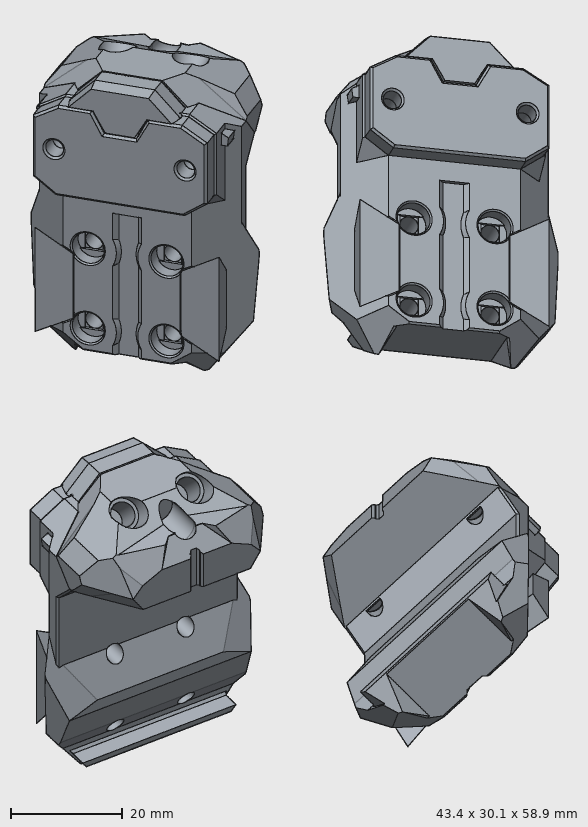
import cadquery as cq
import math


TOP_Z = 58.94
BACK_Y = 26.05
SIDE_X = 19.27
PLATE_HALF_WIDTH = 12.26
SHOULDER_Z = 54.4
SHOULDER_X = 11.8
FACE_HALF_WIDTH = 16.94
SHOULDER_SLOPE = math.tan(math.radians(30))
FACE_SHOULDER_Z = SHOULDER_Z - SHOULDER_SLOPE * (FACE_HALF_WIDTH - SHOULDER_X)
FACE_BOTTOM_Z = 36.0
FACE_CORNER_Z = 39.1
HEAD_BOTTOM_Z = 45.7
HEAD_FRONT_Y = 2.85
JOINT_SUM = 59.5
JOINT_TOP_Y = JOINT_SUM - SHOULDER_Z
JOINT_BOTTOM_Y = JOINT_SUM - HEAD_BOTTOM_Z
BIG = 200.0

PLATE_BACK_Y = 9.73
UNDERCUT_Y = 14.5
UNDERCUT_Z = HEAD_BOTTOM_Z - (UNDERCUT_Y - PLATE_BACK_Y)
WAIST_Z = 30.9
BULGE_Y = 13.85
BOTTOM_Z = 3.7
BOTTOM_HALF_WIDTH = 10.2
TIP_Y = 6.8
TIP_FRONT_Y = 2.0
TIP_RISE = 0.592
HOOK_Y = 13.3
HOOK_LIP_Y = 13.55
HOOK_BEVEL = 0.5
HOOK_INSET = 0.5
HOOK_TOP_Z = 5.2
BOTTOM_CHAMFER = 0.35
TIP_X = (13.2, PLATE_HALF_WIDTH)
BACK_EDGE_CHAMFER = 0.4
FACE_EDGE_CHAMFER = 0.35

BOLT_X = 7.5
BOLT_Z = (8.35, 24.3)
BOLT_DIAMETER = 3.4
BOLT_HEAD_DIAMETER = 6.1
BOLT_HEAD_DEPTH = 3.0
BOLT_RIM = 0.3
BRIDGE_STEP = 0.3

GROOVE_TOP_Z = 32.2
GROOVE_HALF_WIDTH = 2.75
GROOVE_FLOOR_HALF_WIDTH = 1.87
GROOVE_DEPTH = GROOVE_HALF_WIDTH - GROOVE_FLOOR_HALF_WIDTH
GROOVE_COLLAR_RADIUS = 5.45
GROOVE_COLLAR_FLOOR_RADIUS = 6.1

FACE_THICKNESS = 4.0
FACE_REVEAL = 0.35
FACE_CHAMFER = 0.45
FACE_TOP_Z = SHOULDER_Z - FACE_REVEAL
FACE_HOLE_X = 12.5
FACE_HOLE_Z = 45.3
FACE_HOLE_DIAMETER = 3.4
FACE_HOLE_RIM = 0.4
FACE_HOLE_END_Y = 16.0
NOTCH_TOP_HALF_WIDTH = 5.35
NOTCH_BOTTOM_HALF_WIDTH = 3.05
NOTCH_BOTTOM_Z = 49.85
NOTCH_GAP = 0.25

TONGUE_TOP_HALF_WIDTH = 5.7
TONGUE_SPLIT_Y = -1.1
TONGUE_TAPER = 11.0
TONGUE_CHAMFER = 0.35
NOSE_SETBACK = 0.2

WEDGE_OUTER_X = 17.53
WEDGE_INNER_X = 10.3
WEDGE_DEPTH = 4.0
WEDGE_GAP = 0.2
WEDGE_FRONT_OUTER_Z = (5.94, 26.85)
WEDGE_FRONT_INNER_Z = (9.85, 22.8)
WEDGE_BACK_OUTER_Z = (10.9, 22.4)
WEDGE_BACK_INNER_Z = (14.8, 18.35)

PEG_Y = (2.85, 6.5)
PEG_INNER_X = 15.0
PEG_OUTER_X = 18.3
PEG_DRAFT = 0.2
PEG_BOTTOM_Z = 47.9
PEG_OUTER_Z = 49.55

INSERT_X = 6.93
INSERT_SEAT_Y = 12.2
INSERT_SEAT_Z = 56.35
INSERT_TILT = 45.0
INSERT_DIAMETER = 4.7
INSERT_DEPTH = 6.0
SCREW_HEAD_DIAMETER = 6.1
SCREW_HEAD_DRAFT = 5.0
SCREW_HEAD_REACH = 8.0
BACK_GROOVE_WIDTH = 1.96
BACK_GROOVE_DEPTH = 1.08
BACK_GROOVE_BEVEL = 0.4
CHANNEL_DIAMETER = 5.5
CHANNEL_AXIS_Z = 55.7
CHANNEL_Y = (13.5, 20.75)


def mirrored(points):
    """Close an outline given on its +X half by repeating it on the -X half."""
    return points + [(-x, z) for x, z in reversed(points)]


def beyond(p, q, r, core):
    """Block filling the side of plane p-q-r that does not hold the point core."""
    p, q, r, core = (cq.Vector(*v) for v in (p, q, r, core))
    normal = (q - p).cross(r - p).normalized()
    if normal.dot(core - p) > 0:
        normal = normal * -1
    plane = cq.Plane(origin=p, xDir=q - p, normal=normal)
    return cq.Workplane(plane).rect(BIG, BIG).extrude(BIG)


def trim_sides(body, facets, core):
    """Cut one planar facet per point triple, and its mirror image on the other side."""
    for facet in facets:
        for side in (1, -1):
            points = [(side * x, y, z) for x, y, z in facet]
            body = body.cut(beyond(*points, core))
    return body


def along_x(points):
    """Prism across the full width from a (y, z) outline."""
    return cq.Workplane("YZ").polyline(points).close().extrude(BIG / 2, both=True)


def along_y(points, y_start, y_end):
    """Prism from y_start to y_end with an (x, z) outline."""
    plane = cq.Workplane("XZ", origin=(0, y_start, 0))
    return plane.polyline(points).close().extrude(y_start - y_end)


def drill(x, z, diameter, y_start, y_end):
    """Cylinder along Y."""
    return cq.Workplane("XZ", origin=(x, y_start, z)).circle(diameter / 2).extrude(y_start - y_end)


def cone(x, z, radius, end_radius, y_start, length):
    """Cone along +Y, from radius at y_start to end_radius."""
    solid = cq.Solid.makeCone(radius, end_radius, length, cq.Vector(x, y_start, z), cq.Vector(0, 1, 0))
    return cq.Workplane(solid)



def wedge(side, gap=0.0):
    """Tapered block let into the 45 degree flank of the carriage; gap widens its recess."""
    def face(outer_z, inner_z):
        inner_x = WEDGE_INNER_X - gap
        return [
            (side * WEDGE_OUTER_X, outer_z[1] + gap),
            (side * inner_x, inner_z[1] + gap),
            (side * inner_x, inner_z[0] - gap),
            (side * WEDGE_OUTER_X, outer_z[0] - gap),
        ]

    return (
        cq.Workplane("XZ")
        .polyline(face(WEDGE_FRONT_OUTER_Z, WEDGE_FRONT_INNER_Z)).close()
        .workplane(offset=-WEDGE_DEPTH)
        .polyline(face(WEDGE_BACK_OUTER_Z, WEDGE_BACK_INNER_Z)).close()
        .loft(ruled=True)
    )



def peg(side):
    """Small locating peg standing out of the side of the carriage."""
    inner_z = PEG_OUTER_Z + SHOULDER_SLOPE * (PEG_OUTER_X - PEG_INNER_X)
    outline = [
        (PEG_INNER_X, PEG_BOTTOM_Z),
        (PEG_INNER_X, inner_z),
        (PEG_OUTER_X, PEG_OUTER_Z),
        (PEG_OUTER_X - PEG_DRAFT, PEG_BOTTOM_Z),
    ]
    return along_y([(side * x, z) for x, z in outline], *PEG_Y)



CARRIAGE_CORE = (0, 5, 20)
FLARE_TOP = (21.7, 9.44, 24.7)
FLARE_LOW = (21.7, 9.44, 22.2)
FLARE_END = (20.95, 8.69, 10.6)
FLANK_END = (16.9, 4.64, 5.4)
BULGE_SIDE_X = 19.3
TIP_BACK = (14.1, 9.4, 1.54)
FRONT_BREAK_Z = 6.75
BULGE_Z = (16.1, 18.4)
BULGE_KNEE = (11.5, 9.9)
BULGE_BOTTOM_Z = 6.8
BULGE_TOP_Z = 25.5


def carriage_outline():
    """Outline of the carriage in X and Z; the facets shape its lower sides further."""
    side_shoulder_z = SHOULDER_Z - SHOULDER_SLOPE * (SIDE_X - SHOULDER_X)
    return mirrored([
        (SHOULDER_X, SHOULDER_Z),
        (SIDE_X, side_shoulder_z),
        (SIDE_X, WAIST_Z),
        (FLARE_TOP[0], FLARE_TOP[2]),
        (FLARE_TOP[0], 0),
        (TIP_X[1], 0),
        (BOTTOM_HALF_WIDTH, BOTTOM_Z),
    ])


def carriage_plate():
    """Upright plate with the overhang under the head; its back edges are bevelled."""
    profile = [
        (0, BOTTOM_Z + BOTTOM_CHAMFER),
        (BOTTOM_CHAMFER, BOTTOM_Z),
        (TIP_FRONT_Y, BOTTOM_Z),
        (TIP_Y, 0),
        (PLATE_BACK_Y, TIP_RISE * (PLATE_BACK_Y - TIP_Y)),
        (PLATE_BACK_Y, UNDERCUT_Z),
        (UNDERCUT_Y, HEAD_BOTTOM_Z),
        (JOINT_BOTTOM_Y, HEAD_BOTTOM_Z),
        (JOINT_TOP_Y, SHOULDER_Z),
        (0, SHOULDER_Z),
    ]
    plate = along_x(profile).intersect(cq.Workplane("XY").box(2 * SIDE_X, BIG, BIG))
    for side in (1, -1):
        x = side * SIDE_X
        back_edges = cq.selectors.BoxSelector(
            (x - 1, PLATE_BACK_Y - 0.1, BOTTOM_Z),
            (x + 1, UNDERCUT_Y, HEAD_BOTTOM_Z - 1),
        )
        plate = plate.edges(back_edges).chamfer(BACK_EDGE_CHAMFER)
    return plate


def hook():
    """Ledge along the lower back, narrower than the plate."""
    profile = [
        (PLATE_BACK_Y, TIP_RISE * (PLATE_BACK_Y - TIP_Y)),
        (HOOK_Y, TIP_RISE * (HOOK_Y - TIP_Y)),
        (HOOK_LIP_Y, HOOK_TOP_Z),
        (PLATE_BACK_Y + HOOK_BEVEL, HOOK_TOP_Z),
        (PLATE_BACK_Y, HOOK_TOP_Z + HOOK_BEVEL),
    ]
    side = (
        (TIP_X[0] - HOOK_INSET, 0, 0),
        (TIP_X[0] - HOOK_INSET, 1, 0),
        (FLANK_END[0] - HOOK_INSET, 0, FLANK_END[2]),
    )
    return trim_sides(along_x(profile), [side], CARRIAGE_CORE)


def carriage_bulge():
    """Lower part that is wider and thicker than the plate, narrowed by a facet on each side."""
    profile = [
        (0, BULGE_BOTTOM_Z),
        (PLATE_BACK_Y, BULGE_BOTTOM_Z),
        BULGE_KNEE,
        (BULGE_Y, BULGE_Z[0]),
        (BULGE_Y, BULGE_Z[1]),
        (PLATE_BACK_Y, BULGE_TOP_Z),
        (SIDE_X - PLATE_HALF_WIDTH, WAIST_Z),
        (0, WAIST_Z),
    ]
    upper_facet = (
        (SIDE_X, SIDE_X - PLATE_HALF_WIDTH, WAIST_Z),
        FLARE_TOP,
        (BULGE_SIDE_X, BULGE_Y, BULGE_Z[0]),
    )
    return trim_sides(along_x(profile), [upper_facet], CARRIAGE_CORE)


def face_block():
    """Square-sided block behind the face plate, with its lower corners cut away at a slant."""
    depth = FACE_HALF_WIDTH - PLATE_HALF_WIDTH
    outline = mirrored([
        (SHOULDER_X, SHOULDER_Z),
        (FACE_HALF_WIDTH, FACE_SHOULDER_Z),
        (FACE_HALF_WIDTH, FACE_BOTTOM_Z),
    ])
    block = along_y(outline, 0, depth)
    block = block.faces("<Y").edges("not <Z").chamfer(FACE_EDGE_CHAMFER)
    corner = (
        (FACE_HALF_WIDTH, depth, FACE_BOTTOM_Z),
        (FACE_HALF_WIDTH, FACE_EDGE_CHAMFER, FACE_CORNER_Z),
        (PLATE_HALF_WIDTH, 0, FACE_BOTTOM_Z),
    )
    return trim_sides(block, [corner], (0, depth / 2, SHOULDER_Z))


def bolt_hole(x, z):
    """Counterbored bolt hole; its seat steps through a slot and a square before the round hole."""
    slot_end = BOLT_HEAD_DEPTH + BRIDGE_STEP
    square_end = slot_end + BRIDGE_STEP
    hole = drill(x, z, BOLT_DIAMETER, 0, BIG)
    head = drill(x, z, BOLT_HEAD_DIAMETER, 0, BOLT_HEAD_DEPTH)
    head_radius = BOLT_HEAD_DIAMETER / 2
    rim = cone(x, z, head_radius + BOLT_RIM, head_radius, 0, BOLT_RIM)
    across = cq.Workplane("XZ", origin=(x, 0, z)).rect(BOLT_HEAD_DIAMETER, BOLT_DIAMETER).extrude(-slot_end)
    slot = drill(x, z, BOLT_HEAD_DIAMETER, 0, slot_end).intersect(across)
    square = cq.Workplane("XZ", origin=(x, 0, z)).rect(BOLT_DIAMETER, BOLT_DIAMETER).extrude(-square_end)
    return hole.union(head).union(rim).union(slot).union(square)


def cable_groove():
    """Groove with 45 degree walls, pinched where it passes the bolt holes."""
    section = [
        (GROOVE_HALF_WIDTH, 0),
        (GROOVE_FLOOR_HALF_WIDTH, GROOVE_DEPTH),
        (-GROOVE_FLOOR_HALF_WIDTH, GROOVE_DEPTH),
        (-GROOVE_HALF_WIDTH, 0),
    ]
    groove = cq.Workplane("XY").polyline(section).close().extrude(GROOVE_TOP_Z)
    for side in (1, -1):
        for z in BOLT_Z:
            collar = cone(side * BOLT_X, z, GROOVE_COLLAR_RADIUS, GROOVE_COLLAR_FLOOR_RADIUS, 0, GROOVE_DEPTH)
            groove = groove.cut(collar)
    return groove


def face_hole(x):
    """Screw hole through the face plate and carriage, ending in a 45 degree roof inside the head."""
    hole = drill(x, FACE_HOLE_Z, FACE_HOLE_DIAMETER, -FACE_THICKNESS, FACE_HOLE_END_Y)
    radius = FACE_HOLE_DIAMETER / 2
    rim = cone(x, FACE_HOLE_Z, radius + FACE_HOLE_RIM, radius, -FACE_THICKNESS, FACE_HOLE_RIM)
    roof_y = FACE_HOLE_END_Y - FACE_HOLE_DIAMETER
    roof_z = FACE_HOLE_Z + radius
    roof = beyond((0, roof_y, roof_z), (1, roof_y, roof_z), (0, roof_y + 1, roof_z - 1), (x, 0, FACE_HOLE_Z))
    return hole.cut(roof).union(rim)


def make_carriage():
    flank = (
        (PLATE_HALF_WIDTH, 0, 0),
        (PLATE_HALF_WIDTH, 0, TOP_Z),
        (SIDE_X, SIDE_X - PLATE_HALF_WIDTH, 0),
    )
    lower_facets = [
        (FLARE_LOW, (BULGE_SIDE_X, BULGE_Y, BULGE_Z[0]), FLARE_END),
        (FLARE_END, FLANK_END, TIP_BACK),
        (FLANK_END, (PLATE_HALF_WIDTH, 0, FRONT_BREAK_Z), (TIP_X[1], TIP_Y, 0)),
    ]
    body = carriage_plate().union(carriage_bulge()).union(hook())
    body = body.intersect(along_y(carriage_outline(), -BIG, BIG))
    body = trim_sides(body, [flank] + lower_facets, CARRIAGE_CORE)
    edge_space = cq.Workplane("XY").box(BIG, 2 * FACE_EDGE_CHAMFER, BIG)
    edge_space = edge_space.translate((0, 0, FACE_BOTTOM_Z + BIG / 2))
    body = body.cut(edge_space).union(face_block())
    for x in (-BOLT_X, BOLT_X):
        for z in BOLT_Z:
            body = body.cut(bolt_hole(x, z))
    body = body.cut(cable_groove())
    for side in (1, -1):
        body = body.cut(wedge(side, WEDGE_GAP)).cut(peg(side)).cut(face_hole(side * FACE_HOLE_X))
    return body



def notch_filling():
    """Outline of the tongue where it drops into the notch, clear of the notch's walls."""
    return mirrored([
        (NOTCH_TOP_HALF_WIDTH - NOTCH_GAP, FACE_TOP_Z),
        (NOTCH_BOTTOM_HALF_WIDTH - NOTCH_GAP, NOTCH_BOTTOM_Z + NOTCH_GAP),
    ])


def make_face_plate():
    half_width = FACE_HALF_WIDTH - FACE_REVEAL
    corner_z = FACE_TOP_Z - SHOULDER_SLOPE * (half_width - SHOULDER_X)
    outline = mirrored([
        (NOTCH_BOTTOM_HALF_WIDTH, NOTCH_BOTTOM_Z),
        (NOTCH_TOP_HALF_WIDTH, FACE_TOP_Z),
        (SHOULDER_X, FACE_TOP_Z),
        (half_width, corner_z),
        (half_width, FACE_CORNER_Z),
        (PLATE_HALF_WIDTH, FACE_BOTTOM_Z),
    ])
    plate = along_y(outline, -FACE_THICKNESS, 0)
    plate = plate.faces("<Y").edges().chamfer(FACE_CHAMFER)
    for x in (-FACE_HOLE_X, FACE_HOLE_X):
        plate = plate.cut(face_hole(x))
    return plate



def tongue_outline(bottom_z):
    """Top and 45 degree flanks of the tongue, down to bottom_z."""
    return mirrored([(TONGUE_TOP_HALF_WIDTH, TOP_Z), (TONGUE_TOP_HALF_WIDTH + TOP_Z - bottom_z, bottom_z)])


def make_tongue():
    """Block between the head and the nose, filling the back of the face plate's notch."""
    block = along_y(tongue_outline(SHOULDER_Z), 0, HEAD_FRONT_Y)
    block = block.faces(">Y").edges("not <Z").chamfer(TONGUE_CHAMFER)
    front = along_y(tongue_outline(FACE_TOP_Z), TONGUE_SPLIT_Y, 0)
    return block.union(front).union(along_y(notch_filling(), TONGUE_SPLIT_Y, 0))


def make_nose():
    """Tapered front block, filling the front of the face plate's notch."""
    length = FACE_THICKNESS - NOSE_SETBACK + TONGUE_SPLIT_Y
    plane = cq.Workplane("XZ", origin=(0, TONGUE_SPLIT_Y, 0))
    block = plane.polyline(tongue_outline(NOTCH_BOTTOM_Z)).close().extrude(length, taper=TONGUE_TAPER)
    block = block.intersect(cq.Workplane("XY").box(BIG, BIG, BIG).translate((0, 0, FACE_TOP_Z + BIG / 2)))
    return block.union(along_y(notch_filling(), TONGUE_SPLIT_Y - length, TONGUE_SPLIT_Y))



HEAD_CORE = (0, 14, 52)
RIDGE = (8.5, 13.5, TOP_Z)
RIDGE_FRONT = (8.5, 7.4, TOP_Z)
RIDGE_NOSE = (TONGUE_TOP_HALF_WIDTH, HEAD_FRONT_Y, TOP_Z)
BREAK_BACK = (16.5, 19.1, 54.3)
BREAK_FRONT = (16.5, 11.0, 54.3)
CORNER_LOW = (SIDE_X, 17.9, 49.2)
SIDE_FRONT = (SIDE_X, 10.0, 50.7)
CHEEK_INNER = (10.84, 8.47, 57.58)
CHEEK_OUTER = (19.0, 9.2, 50.3)
BROW_OUTER = (13.3, 21.3, 55.75)
BROW_PEAK = (5.5, 23.9, 56.4)
BROW_CREST = (2.8, 19.2, 56.65)
REAR_INNER = (7.4, BACK_Y, 53.0)
REAR_MIDDLE = (11.3, BACK_Y, 51.3)
REAR_CORNER = (14.2, 22.7, 53.6)
UNDER_BREAK = (15.8, 22.8, 48.9)
UNDER_END = (18.16, 16.2, HEAD_BOTTOM_Z)
REAR_OUTER = (13.5, BACK_Y, 48.8)
BACK_SLOPE_Y = 21.0
BACK_SLOPE_Z = 55.8
SADDLE_SLOPE = 0.91
SADDLE_HALF_WIDTH = 3.6
SADDLE_FRONT_Y = 22.2


def head_facets():
    return [
        (RIDGE, RIDGE_FRONT, BREAK_BACK),
        (BREAK_BACK, BREAK_FRONT, SIDE_FRONT),
        (CORNER_LOW, BREAK_BACK, REAR_OUTER),
        (REAR_MIDDLE, REAR_OUTER, REAR_CORNER),
        (BROW_PEAK, BROW_OUTER, REAR_INNER),
        (CORNER_LOW, (SIDE_X, UNDERCUT_Y, HEAD_BOTTOM_Z), UNDER_BREAK),
        (REAR_OUTER, UNDER_BREAK, UNDER_END),
    ]


def head_block():
    """Solid under the top plane, resting on the sloping joint with the carriage."""
    profile = [
        (HEAD_FRONT_Y, SHOULDER_Z),
        (HEAD_FRONT_Y, TOP_Z),
        (BACK_Y, TOP_Z),
        (BACK_Y, HEAD_BOTTOM_Z),
        (JOINT_BOTTOM_Y, HEAD_BOTTOM_Z),
        (JOINT_TOP_Y, SHOULDER_Z),
    ]
    width = cq.Workplane("XY").box(2 * SIDE_X, BIG, BIG)
    return along_x(profile).intersect(width)


def valley(first, second, side):
    """Space beyond two facets that meet in an inner corner, for one side of the head."""
    spaces = []
    for facet in (first, second):
        points = [(side * x, y, z) for x, y, z in facet]
        spaces.append(beyond(*points, HEAD_CORE))
    return spaces[0].intersect(spaces[1])


def brow_valley(side):
    """Valley between the sloping back of the head and one half of the brow."""
    back_slope = (RIDGE, (0, RIDGE[1], RIDGE[2]), (0, BACK_SLOPE_Y, BACK_SLOPE_Z))
    return valley(back_slope, (BROW_OUTER, BROW_PEAK, BROW_CREST), side)


def cheek_valley(side):
    """Valley between the two facets at the front of the head."""
    upper = (SIDE_FRONT, BREAK_FRONT, RIDGE_FRONT)
    return valley(upper, (RIDGE_NOSE, CHEEK_INNER, CHEEK_OUTER), side)


def saddle():
    """Sloping recess that opens out towards the back, between the two halves of the brow."""
    narrow = SADDLE_HALF_WIDTH
    wide = REAR_INNER[0]
    front_y = SADDLE_FRONT_Y
    plan = [(narrow, front_y), (wide, BACK_Y), (-wide, BACK_Y), (-narrow, front_y)]
    space = cq.Workplane("XY").polyline(plan).close().extrude(BIG)
    front_z = REAR_INNER[2] + SADDLE_SLOPE * (BACK_Y - front_y)
    floor = beyond((0, front_y, front_z), (1, front_y, front_z), (0, BACK_Y, REAR_INNER[2]), HEAD_CORE)
    return space.intersect(floor)


def insert_hole(x):
    """Tilted hole for a threaded insert, under a wider screw head recess."""
    tilt = math.radians(INSERT_TILT)
    up = cq.Vector(0, math.sin(tilt), math.cos(tilt))
    seat = cq.Workplane(cq.Plane((x, INSERT_SEAT_Y, INSERT_SEAT_Z), (1, 0, 0), up))
    recess = seat.circle(SCREW_HEAD_DIAMETER / 2).extrude(SCREW_HEAD_REACH, taper=-SCREW_HEAD_DRAFT)
    return recess.union(seat.circle(INSERT_DIAMETER / 2).extrude(-INSERT_DEPTH))


def round_channel():
    """Level round-ended channel under the top of the head."""
    start, end = CHANNEL_Y
    sphere = cq.Workplane("XY").sphere(CHANNEL_DIAMETER / 2).translate((0, end, CHANNEL_AXIS_Z))
    return drill(0, CHANNEL_AXIS_Z, CHANNEL_DIAMETER, start, end).union(sphere)


def back_groove():
    """Upright groove with bevelled edges in the back face."""
    wall_x = BACK_GROOVE_WIDTH / 2
    floor_y = BACK_Y - BACK_GROOVE_DEPTH
    bevel = BACK_GROOVE_BEVEL
    outline = mirrored([
        (wall_x + bevel, BACK_Y),
        (wall_x, BACK_Y - bevel),
        (wall_x, floor_y + bevel),
        (wall_x - bevel, floor_y),
    ])
    return cq.Workplane("XY").polyline(outline).close().extrude(BIG)


def make_head():
    body = trim_sides(head_block(), head_facets(), HEAD_CORE)
    for side in (1, -1):
        body = body.cut(brow_valley(side)).cut(cheek_valley(side))
        body = body.cut(insert_hole(side * INSERT_X))
        body = body.cut(face_hole(side * FACE_HOLE_X))
    return body.cut(saddle()).cut(round_channel()).cut(back_groove())


carriage = make_carriage()
face_plate = make_face_plate()
tongue = make_tongue()
nose = make_nose()
head = make_head()
wedges = [wedge(side).val() for side in (1, -1)]
pegs = [peg(side).val() for side in (1, -1)]

result = cq.Compound.makeCompound([
    carriage.val(), face_plate.val(), tongue.val(), nose.val(), head.val(), *wedges, *pegs,
])